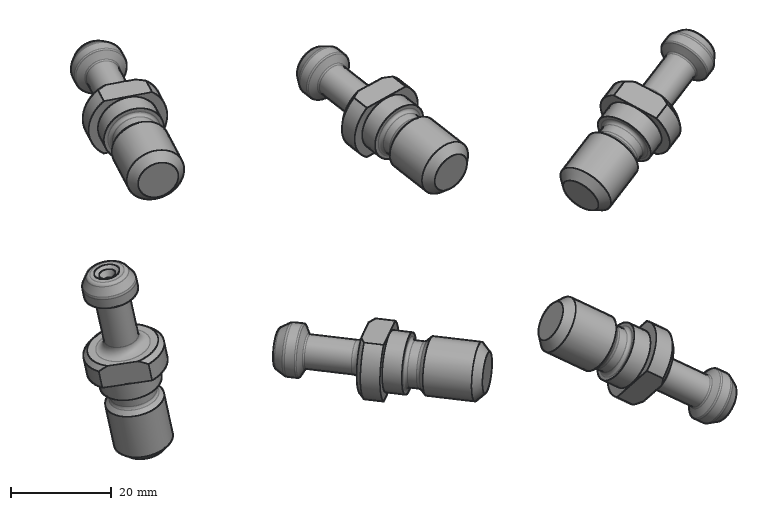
import cadquery as cq
import math

length = 43.0
cone_end = 2.5
head_back = 5.05
neck_start = 6.15
flange_start = 17.97
flange_end = 23.0
collar_end = 27.0
relief_end = 30.0

face_radius = 4.05
head_radius = 5.5
neck_radius = 3.505
flange_radius = 8.2
collar_radius = 6.28
relief_radius = 4.77
shank_radius = 6.0

front_blend = 1.0
back_blend = 0.4
neck_blend = 2.0
flange_chamfer = 1.05
relief_blend = 0.75
shank_blend = 1.0
shank_chamfer = 1.8
flats_width = 13.0

countersink_radius = 2.56
cone_radius = 1.655
pilot_radius = 0.85
pilot_depth = 1.7
countersink_half_angle = math.radians(60)
cone_half_angle = math.radians(30)
tip_half_angle = math.radians(60)


def revolve_profile(profile):
    """Turn a closed (axial position, radius) profile about the X axis."""
    return profile.close().revolve(360, (0, 0, 0), (1, 0, 0))


def fillet_circle(body, x, radius, blend):
    """Round the circular edge at an axial position and radius."""
    tolerance = 0.02
    box = cq.selectors.BoxSelector(
        (x - tolerance, -radius - tolerance, -radius - tolerance),
        (x + tolerance, radius + tolerance, radius + tolerance),
        boundingbox=True,
    )
    ring = cq.selectors.RadiusNthSelector(-1)
    return body.edges("%CIRCLE").edges(box).edges(ring).fillet(blend)


def make_turned_body():
    shank_start = relief_end + shank_radius - relief_radius
    body = revolve_profile(
        cq.Workplane("XY")
        .moveTo(0, 0)
        .lineTo(0, face_radius)
        .lineTo(cone_end, head_radius)
        .lineTo(head_back, head_radius)
        .lineTo(neck_start, neck_radius)
        .lineTo(flange_start, neck_radius)
        .lineTo(flange_start, flange_radius - flange_chamfer)
        .lineTo(flange_start + flange_chamfer, flange_radius)
        .lineTo(flange_end, flange_radius)
        .lineTo(flange_end, collar_radius)
        .lineTo(collar_end, collar_radius)
        .lineTo(collar_end, relief_radius)
        .lineTo(relief_end, relief_radius)
        .lineTo(shank_start, shank_radius)
        .lineTo(length - shank_chamfer, shank_radius)
        .lineTo(length, shank_radius - shank_chamfer)
        .lineTo(length, 0)
    )
    blends = [
        (0, face_radius, front_blend),
        (cone_end, head_radius, front_blend),
        (head_back, head_radius, back_blend),
        (neck_start, neck_radius, back_blend),
        (flange_start, neck_radius, neck_blend),
        (collar_end, relief_radius, relief_blend),
        (relief_end, relief_radius, shank_blend),
    ]
    for x, radius, blend in blends:
        body = fillet_circle(body, x, radius, blend)
    return body


def make_flats_envelope():
    """Slab whose top and bottom faces form the wrench flats."""
    width = 2 * flange_radius
    return cq.Workplane("XY").box(length, width, flats_width).translate((length / 2, 0, 0))


def make_center_hole():
    cone_start = (countersink_radius - cone_radius) / math.tan(countersink_half_angle)
    pilot_start = cone_start + (cone_radius - pilot_radius) / math.tan(cone_half_angle)
    pilot_end = pilot_start + pilot_depth
    tip = pilot_end + pilot_radius / math.tan(tip_half_angle)
    return revolve_profile(
        cq.Workplane("XY")
        .moveTo(0, 0)
        .lineTo(0, countersink_radius)
        .lineTo(cone_start, cone_radius)
        .lineTo(pilot_start, pilot_radius)
        .lineTo(pilot_end, pilot_radius)
        .lineTo(tip, 0)
    )


result = make_turned_body().intersect(make_flats_envelope()).cut(make_center_hole())